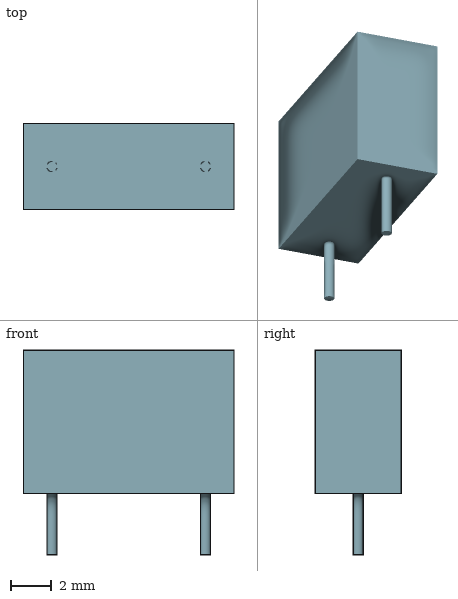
import cadquery as cq

housing_length = 10.3
housing_width = 4.2
housing_height = 7.0

lead_diameter = 0.5
lead_length = 3.0
lead_pitch = 7.5


def make_housing():
    """Plain rectangular block standing on the plane Z = 0."""
    return cq.Workplane("XY").box(
        housing_length, housing_width, housing_height, centered=(True, True, False)
    )


def make_lead(x):
    """Straight round lead hanging from the underside of the housing."""
    return cq.Workplane("XY").center(x, 0).circle(lead_diameter / 2).extrude(-lead_length)


housing = make_housing()

leads = []
for side in (-1, 1):
    leads.append(make_lead(side * lead_pitch / 2).val())

result = cq.Compound.makeCompound([housing.val(), *leads])